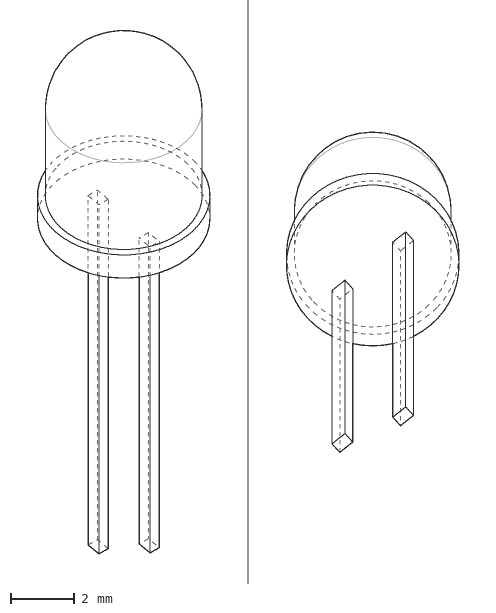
import cadquery as cq

total_height = 22.6
long_lead_length = 15.3

lens_diameter = 4.97
flange_diameter = 5.47
flange_height = 1.02
lens_radius = lens_diameter / 2
lens_height = total_height - long_lead_length
cylinder_top = lens_height - lens_radius

short_lead_length = 13.4
lead_width = 0.55
lead_thickness = 0.38
lead_pitch = 2.53


def make_lens():
    """Revolve the flange, cylinder and dome about Z, with the underside at Z = 0."""
    flange_radius = flange_diameter / 2
    dome_midpoint = (
        lens_radius * 0.5**0.5,
        cylinder_top + lens_radius * 0.5**0.5,
    )
    return (
        cq.Workplane("XZ")
        .lineTo(flange_radius, 0)
        .lineTo(flange_radius, flange_height)
        .lineTo(lens_radius, flange_height)
        .lineTo(lens_radius, cylinder_top)
        .threePointArc(dome_midpoint, (0, lens_height))
        .close()
        .revolve(360, (0, 0), (0, 1))
    )


def make_lead(center_x, length):
    """Build one lead whose top end touches the underside of the lens."""
    return (
        cq.Workplane("XY")
        .center(center_x, 0)
        .rect(lead_width, lead_thickness)
        .extrude(-length)
    )


lens = make_lens()

leads = [
    make_lead(center_x, length)
    for center_x, length in (
        (-lead_pitch / 2, long_lead_length),
        (lead_pitch / 2, short_lead_length),
    )
]

result = cq.Compound.makeCompound([lens.val(), *[lead.val() for lead in leads]])